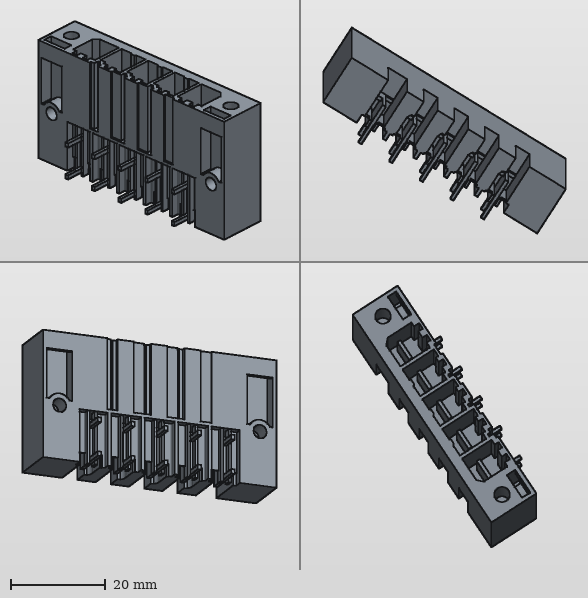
import cadquery as cq

LENGTH = 53.35
DEPTH = 11.35
HEIGHT = 28.3

PITCH = 7.65
CELL_COUNT = 5
CELL_CENTRES = [(i - (CELL_COUNT - 1) / 2) * PITCH for i in range(CELL_COUNT)]

SHEET = 0.8
BLADE_WIDTH = 4.5
BLADE_Y = 5.7
BLADE_TOP = 22.4
BLADE_BOTTOM = 10.6
TAB_BOTTOM = 6.65
LEG_TIP_Y = -3.5
LEG_HEIGHT = 1.0
LOWER_LEG_Z = 0.6
LEG_BOTTOMS = [LOWER_LEG_Z, LOWER_LEG_Z + PITCH]
SHANK_FRONT_Y = 1.2

SOCKET_FLOOR = 12.55
SOCKET_BACK = 9.0
SOCKET_RIGHT = 3.4
KEY_DEPTH = 0.65
INNER_FRONT = 1.75

KEY_SLOT_BOTTOM = SOCKET_FLOOR
SHALLOW_DEPTH = 0.5
DEEP_DEPTH = 1.6
MIDDLE_DEPTH = 0.9
SHALLOW_START = -5.9
FIRST_SHALLOW_START = -4.3
DEEP_START = -3.35
DEEP_END = -2.8
MIDDLE_END = -2.0

BAY_HEIGHT = 11.75
BAY_HALF_LENGTH = 18.3
DIVIDER = 0.8
GUIDE_FRONT = 0.4
CHANNEL_WIDTH = 1.2
GUIDE_WIDTH = 2.3
PANEL_Y = 1.7
PANEL_BOTTOM = 2.7
PANEL_HALF_OPENING = 2.8
PANEL_CORNER = 0.15
CAVITY_FRONT = 2.1
CAVITY_BACK = 7.65
CAVITY_HALF_WIDTH = 2.35
CAVITY_CURVE_Y = 6.15
CAVITY_CURVE_RIGHT = 1.75
REAR_OPENING_RIGHT = 1.1

END_X = 22.9
NUT_POCKET_WIDTH = 5.8
NUT_POCKET_FRONT = 0.95
NUT_POCKET_BACK = 3.05
WINDOW_BOTTOM = 13.35
WINDOW_TOP = 24.4
MOUNT_HOLE_Z = 12.0
MOUNT_HOLE_DIAMETER = 3.0
MOUNT_HOLE_DEPTH = 4.25
BOSS_RADIUS = 2.6
SCREW_HOLE_Y = 6.2
SCREW_HOLE_DIAMETER = 3.25
SCREW_HOLE_DEPTH = 10.65


def block(x0, x1, y0, y1, z0, z1):
    """Box between two opposite corners."""
    return cq.Workplane("XY").box(x1 - x0, y1 - y0, z1 - z0, centered=False).translate((x0, y0, z0))


def prism(points, z0, z1):
    """Vertical prism over a closed XY outline."""
    return cq.Workplane("XY").workplane(offset=z0).polyline(points).close().extrude(z1 - z0)


def front_cylinder(x, z, radius, depth):
    """Cylinder running from the front face into the housing."""
    return cq.Workplane("XZ").center(x, z).circle(radius).extrude(-depth)


def end_socket():
    """First socket: chamfered outer corner and two key grooves."""
    left = -3.2
    chamfer = 1.1
    groove_inner = 0.8
    groove_outer = 2.2
    left_front = 1.9
    right_front = 1.6
    outline = [
        (left, left_front), (-groove_outer, left_front), (-groove_outer, KEY_DEPTH),
        (-groove_inner, KEY_DEPTH), (-groove_inner, INNER_FRONT), (groove_inner, INNER_FRONT),
        (groove_inner, KEY_DEPTH), (groove_outer, KEY_DEPTH), (groove_outer, right_front),
        (SOCKET_RIGHT, right_front), (SOCKET_RIGHT, SOCKET_BACK),
        (left + chamfer, SOCKET_BACK), (left, SOCKET_BACK - chamfer),
    ]
    return prism(outline, SOCKET_FLOOR, HEIGHT)


def middle_socket():
    """Inner socket: stepped front, one key groove and a rib on the back wall."""
    left = -SOCKET_RIGHT
    left_front = 2.4
    right_front = 1.1
    right_step = SHALLOW_START + PITCH
    groove_left = -0.7
    groove_right = 0.6
    rib_root = 0.75
    rib_tip = 0.55
    rib_height = 0.3
    rib_y = SOCKET_BACK - rib_height
    outline = [
        (left, left_front), (MIDDLE_END, left_front), (MIDDLE_END, INNER_FRONT),
        (groove_left, INNER_FRONT), (groove_left, KEY_DEPTH),
        (groove_right, KEY_DEPTH), (groove_right, INNER_FRONT),
        (right_step, INNER_FRONT), (right_step, right_front), (SOCKET_RIGHT, right_front),
        (SOCKET_RIGHT, SOCKET_BACK), (rib_root, SOCKET_BACK), (rib_tip, rib_y),
        (-rib_tip, rib_y), (-rib_root, SOCKET_BACK), (left, SOCKET_BACK),
    ]
    return prism(outline, SOCKET_FLOOR, HEIGHT)


def cut_sockets(body):
    body = body.cut(end_socket().translate((CELL_CENTRES[0], 0, 0)))
    for x in CELL_CENTRES[1:-1]:
        body = body.cut(middle_socket().translate((x, 0, 0)))
    return body.cut(end_socket().mirror("YZ").translate((CELL_CENTRES[-1], 0, 0)))


def cut_key_slot(body, x, start):
    """Slot with a shallow, a deep and a middle step."""
    outline = [
        (start, 0), (start, SHALLOW_DEPTH), (DEEP_START, SHALLOW_DEPTH), (DEEP_START, DEEP_DEPTH),
        (DEEP_END, DEEP_DEPTH), (DEEP_END, MIDDLE_DEPTH), (MIDDLE_END, MIDDLE_DEPTH), (MIDDLE_END, 0),
    ]
    return body.cut(prism(outline, KEY_SLOT_BOTTOM, HEIGHT).translate((x, 0, 0)))


def cut_key_slots(body):
    body = cut_key_slot(body, CELL_CENTRES[1], FIRST_SHALLOW_START)
    for x in CELL_CENTRES[2:-1]:
        body = cut_key_slot(body, x, SHALLOW_START)
    last = CELL_CENTRES[-1]
    return body.cut(
        block(last + SHALLOW_START, last + DEEP_START, 0, SHALLOW_DEPTH, KEY_SLOT_BOTTOM, HEIGHT)
    )


def panel_recess(x0, x1, rounded_side):
    """Recess beside a guide post; one of its back corners is rounded."""
    recess = block(x0, x1, 0, PANEL_Y, 0, BAY_HEIGHT)
    return recess.edges("|Z").edges(">Y").edges(rounded_side).fillet(PANEL_CORNER)


def cavity():
    """Cavity around the blade and shank; its right wall curves into the back wall."""
    return (
        cq.Workplane("XY")
        .moveTo(-CAVITY_HALF_WIDTH, CAVITY_FRONT)
        .lineTo(CAVITY_HALF_WIDTH, CAVITY_FRONT)
        .lineTo(CAVITY_HALF_WIDTH, CAVITY_CURVE_Y)
        .tangentArcPoint((CAVITY_CURVE_RIGHT, CAVITY_BACK), relative=False)
        .lineTo(-CAVITY_HALF_WIDTH, CAVITY_BACK)
        .close()
        .extrude(BAY_HEIGHT)
    )


def cut_pin_bay(body, x):
    """Recesses, panel openings, pin channel and rear cavity of one cell."""
    half_guide = GUIDE_WIDTH / 2
    post_left = x - half_guide
    post_right = x + half_guide
    half_cell = (PITCH - DIVIDER) / 2
    wall_left = max(x - half_cell, -BAY_HALF_LENGTH)
    wall_right = min(x + half_cell, BAY_HALF_LENGTH)
    is_first = x == CELL_CENTRES[0]
    is_last = x == CELL_CENTRES[-1]

    body = body.cut(panel_recess(wall_left, post_left, ">X" if is_first else "<X"))
    body = body.cut(panel_recess(post_right, wall_right, "<X" if is_last else ">X"))
    body = body.cut(block(post_left, post_right, 0, GUIDE_FRONT, 0, BAY_HEIGHT))

    opening_left = wall_left if is_first else x - PANEL_HALF_OPENING
    opening_right = wall_right if is_last else x + PANEL_HALF_OPENING
    body = body.cut(block(opening_left, post_left, 0, CAVITY_FRONT, 0, PANEL_BOTTOM))
    body = body.cut(block(post_right, opening_right, 0, CAVITY_FRONT, 0, PANEL_BOTTOM))

    half_channel = CHANNEL_WIDTH / 2
    body = body.cut(block(x - half_channel, x + half_channel, 0, CAVITY_FRONT, 0, BAY_HEIGHT))

    body = body.cut(cavity().translate((x, 0, 0)))
    rear_right = CAVITY_HALF_WIDTH if is_last else REAR_OPENING_RIGHT
    return body.cut(block(x - CAVITY_HALF_WIDTH, x + rear_right, CAVITY_FRONT, DEPTH, 0, BAY_HEIGHT))


def blade(x, z0, z1):
    """Full-width blade sheet; also the shape of the slot that holds it."""
    half = BLADE_WIDTH / 2
    return block(x - half, x + half, BLADE_Y - SHEET / 2, BLADE_Y + SHEET / 2, z0, z1)


def cut_fastening(body, x):
    """Nut pocket with front window and boss, mounting hole and vertical screw hole."""
    half = NUT_POCKET_WIDTH / 2
    recess = block(x - half, x + half, NUT_POCKET_FRONT, NUT_POCKET_BACK, WINDOW_BOTTOM, HEIGHT)
    recess = recess.union(block(x - half, x + half, 0, NUT_POCKET_BACK, WINDOW_BOTTOM, WINDOW_TOP))
    recess = recess.cut(front_cylinder(x, MOUNT_HOLE_Z, BOSS_RADIUS, NUT_POCKET_BACK))
    mount_hole = front_cylinder(x, MOUNT_HOLE_Z, MOUNT_HOLE_DIAMETER / 2, MOUNT_HOLE_DEPTH)
    screw_hole = (
        cq.Workplane("XY").workplane(offset=HEIGHT).center(x, SCREW_HOLE_Y)
        .circle(SCREW_HOLE_DIAMETER / 2).extrude(-SCREW_HOLE_DEPTH)
    )
    return body.cut(recess).cut(mount_hole).cut(screw_hole)


def make_housing():
    body = block(-LENGTH / 2, LENGTH / 2, 0, DEPTH, 0, HEIGHT)
    body = cut_sockets(body)
    body = cut_key_slots(body)
    for x in CELL_CENTRES:
        body = cut_pin_bay(body, x)
        body = body.cut(blade(x, BAY_HEIGHT, SOCKET_FLOOR))
    for x in (-END_X, END_X):
        body = cut_fastening(body, x)
    return body


def make_pin(x):
    """Blade with a tab at its lower right, folded forward into a shank with two legs."""
    left = x - SHEET / 2
    right = x + SHEET / 2
    back = BLADE_Y + SHEET / 2
    pin = blade(x, BLADE_BOTTOM, BLADE_TOP)
    pin = pin.union(block(left, x + BLADE_WIDTH / 2, back - SHEET, back, TAB_BOTTOM, BLADE_BOTTOM))
    shank_top = LEG_BOTTOMS[-1] + LEG_HEIGHT
    pin = pin.union(block(left, right, SHANK_FRONT_Y, back, LOWER_LEG_Z, shank_top))
    for z in LEG_BOTTOMS:
        pin = pin.union(block(left, right, LEG_TIP_Y, SHANK_FRONT_Y, z, z + LEG_HEIGHT))
    return pin


housing = make_housing()
pins = [make_pin(x) for x in CELL_CENTRES]

result = cq.Compound.makeCompound([housing.val(), *[pin.val() for pin in pins]])